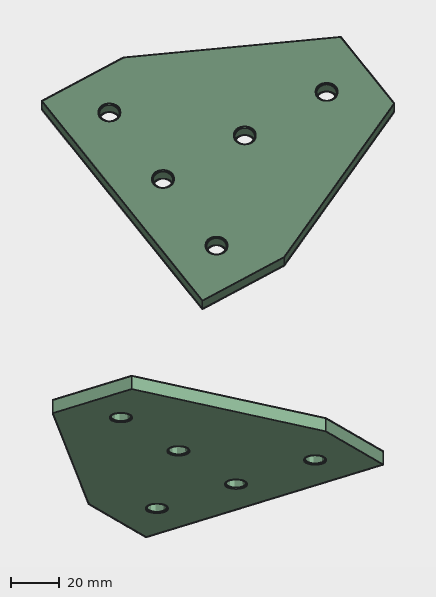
import cadquery as cq

plate_size = 120.0
thickness = 6.0
hole_diameter = 8.2
hole_chamfer = 0.5

cell = plate_size / 3
half_width = plate_size / 2
half_top_width = cell / 2

plate = (
    cq.Workplane("XY")
    .polyline([
        (-half_width, -half_width),
        (half_width, -half_width),
        (half_width, -half_width + cell),
        (half_top_width, half_width),
        (-half_top_width, half_width),
        (-half_width, -half_width + cell),
    ])
    .close()
    .extrude(thickness)
)

hole_centres = [
    (-cell, -cell),
    (0, -cell),
    (cell, -cell),
    (0, 0),
    (0, cell),
]

holes = (
    cq.Workplane("XY")
    .pushPoints(hole_centres)
    .circle(hole_diameter / 2)
    .extrude(thickness)
)
drilled = plate.cut(holes)
result = drilled.edges("%CIRCLE").chamfer(hole_chamfer)